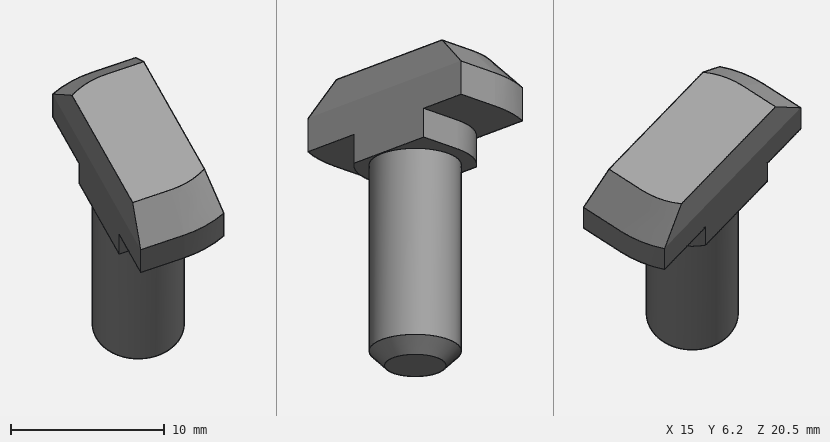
import cadquery as cq
import math

total_height = 20.5
head_length = 15.0
head_width = 6.2

head_height = 4.5
slope_height = 2.2
side_slope_angle = 10.0

neck_length = 8.0
neck_height = 2.0

shank_diameter = 6.0
tip_chamfer = 1.0

head_bottom = total_height - head_height
slope_bottom = total_height - slope_height
neck_bottom = head_bottom - neck_height


def quarter_turn_block(half_profile):
    """Round two opposite quadrants about Z and leave the other two square.

    half_profile lists (x, z) points on the +X side, starting and ending on the Z axis.
    """
    profile = cq.Workplane("XZ").polyline(half_profile).close()
    block = profile.revolve(360, (0, 0, 0), (0, 1, 0))
    square_quadrant = cq.Workplane("XZ").polyline(half_profile).close().extrude(head_width / 2)
    opposite_quadrant = square_quadrant.rotate((0, 0, 0), (0, 0, 1), 180)
    return block.union(square_quadrant).union(opposite_quadrant)


def make_head():
    half_length = head_length / 2
    half_width = head_width / 2
    block = quarter_turn_block([
        (0, head_bottom),
        (half_length, head_bottom),
        (half_length, slope_bottom),
        (half_length - slope_height, total_height),
        (0, total_height),
    ])
    side_inset = slope_height * math.tan(math.radians(side_slope_angle))
    cross_section = (
        cq.Workplane("YZ")
        .polyline([
            (-half_width, head_bottom),
            (half_width, head_bottom),
            (half_width, slope_bottom),
            (half_width - side_inset, total_height),
            (side_inset - half_width, total_height),
            (-half_width, slope_bottom),
        ])
        .close()
        .extrude(half_length, both=True)
    )
    return block.intersect(cross_section)


def make_neck():
    half_length = neck_length / 2
    block = quarter_turn_block([
        (0, neck_bottom),
        (half_length, neck_bottom),
        (half_length, head_bottom),
        (0, head_bottom),
    ])
    width_limit = (
        cq.Workplane("XY", origin=(0, 0, neck_bottom))
        .box(neck_length, head_width, neck_height, centered=(True, True, False))
    )
    return block.intersect(width_limit)


def make_shank():
    shank = cq.Workplane("XY").circle(shank_diameter / 2).extrude(neck_bottom)
    return shank.faces("<Z").chamfer(tip_chamfer)


result = make_head().union(make_neck()).union(make_shank())